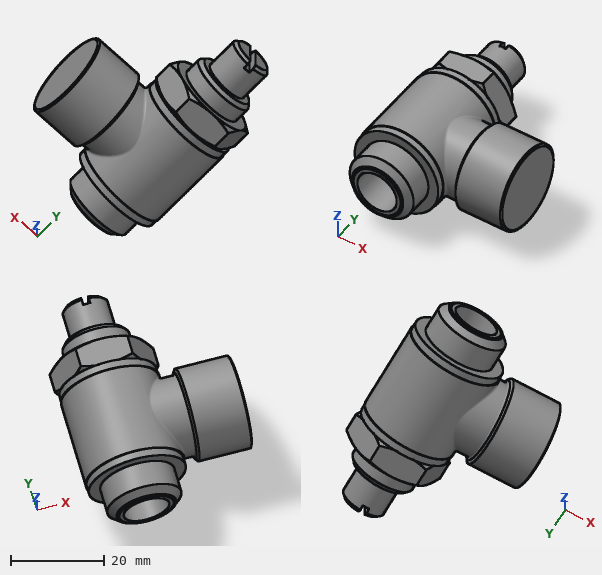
import cadquery as cq
import math

total_length = 49.9

stub_radius = 8.3
stub_length = 7.4
stub_chamfer_end = 1.75
stub_rim_radius = 6.65
lip_base_radius = 6.25
lip_end_radius = 6.1
lip_height = 0.2
bore_radius = 5.1
bore_depth = 14.95
inner_bore_radius = 3.25
inner_bore_depth = 1.0

body_diameter = 22.0
body_radius = body_diameter / 2
collar_radius = 10.85
body_start = 9.2
body_end = 29.2

hex_start = 31.05
hex_end = 37.0
hex_across_flats = 20.0
hex_bevel_angle = 30.0

shoulder_radius = 7.5
shoulder_end = 41.7
shoulder_chamfer_length = 1.05
shoulder_chamfer_width = 0.85
screw_radius = 5.05
screw_chamfer = 0.8
slot_width = 1.55
slot_depth = 1.95

branch_y = 19.15
neck_radius = 9.0
neck_end = 13.75
neck_fillet = 0.35
junction_fillet = 0.55
socket_radius = 10.3
socket_end = 26.05
socket_chamfer_length = 0.25
socket_chamfer_width = 0.5
socket_cone_start_radius = 9.6
socket_cone_end = 14.25


def revolve_about_y(profile):
    """Revolve (radius, Y) points around the main axis."""
    return cq.Workplane("XY").polyline(profile).close().revolve(360, (0, 0, 0), (0, 1, 0))


def cylinder_y(radius, start, end):
    return revolve_about_y([(0, start), (radius, start), (radius, end), (0, end)])


def make_body():
    """Body and branch neck, blended where they meet."""
    body = cylinder_y(body_radius, body_start, body_end)
    neck = cq.Workplane("YZ").center(branch_y, 0).circle(neck_radius).extrude(neck_end)
    inset = 0.1
    junction = cq.selectors.BoxSelector(
        (0, body_start + inset, -body_radius),
        (neck_end - inset, body_end - inset, body_radius),
        boundingbox=True,
    )
    return body.union(neck).edges(junction).fillet(junction_fillet)


def make_socket():
    """Socket with a conical back and a small concave blend onto the neck."""
    blend_start = neck_end - neck_fillet
    blend_mid = (
        neck_end - neck_fillet * (1 - math.sin(math.pi / 4)),
        branch_y + neck_radius + neck_fillet * (1 - math.cos(math.pi / 4)),
    )
    profile = (
        cq.Workplane("XY")
        .moveTo(blend_start, branch_y)
        .lineTo(blend_start, branch_y + neck_radius)
        .threePointArc(blend_mid, (neck_end, branch_y + neck_radius + neck_fillet))
        .lineTo(neck_end, branch_y + socket_cone_start_radius)
        .lineTo(socket_cone_end, branch_y + socket_radius)
        .lineTo(socket_end - socket_chamfer_length, branch_y + socket_radius)
        .lineTo(socket_end, branch_y + socket_radius - socket_chamfer_width)
        .lineTo(socket_end, branch_y)
        .close()
    )
    return profile.revolve(360, (0, branch_y, 0), (1, branch_y, 0))


def make_hex():
    """Hexagon whose corners are bevelled at both ends by a cone."""
    corner_radius = hex_across_flats / math.sqrt(3)
    flat_radius = hex_across_flats / 2
    bevel = (corner_radius - flat_radius) * math.tan(math.radians(hex_bevel_angle))
    prism = (
        cq.Workplane("XZ", origin=(0, hex_start, 0))
        .polygon(6, 2 * corner_radius)
        .extrude(hex_start - hex_end)
    )
    envelope = revolve_about_y([
        (0, hex_start),
        (flat_radius, hex_start),
        (corner_radius, hex_start + bevel),
        (corner_radius, hex_end - bevel),
        (flat_radius, hex_end),
        (0, hex_end),
    ])
    return prism.intersect(envelope)


def make_stub():
    """Chamfered stub with a low tapered lip standing out of its rim."""
    return revolve_about_y([
        (0, 0),
        (lip_end_radius, 0),
        (lip_base_radius, lip_height),
        (stub_rim_radius, lip_height),
        (stub_radius, stub_chamfer_end),
        (stub_radius, stub_length),
        (0, stub_length),
    ])


def make_bore():
    """Stepped hole in the stub: bore and smaller end hole."""
    bore_end = bore_depth + inner_bore_depth
    return revolve_about_y([
        (0, 0),
        (bore_radius, 0),
        (bore_radius, bore_depth),
        (inner_bore_radius, bore_depth),
        (inner_bore_radius, bore_end),
        (0, bore_end),
    ])


def make_screw():
    """Shoulder above the hexagon and the adjusting screw."""
    return revolve_about_y([
        (0, hex_end),
        (shoulder_radius, hex_end),
        (shoulder_radius, shoulder_end - shoulder_chamfer_length),
        (shoulder_radius - shoulder_chamfer_width, shoulder_end),
        (screw_radius, shoulder_end),
        (screw_radius, total_length - screw_chamfer),
        (screw_radius - screw_chamfer, total_length),
        (0, total_length),
    ])


def make_slot():
    """Screwdriver slot running along Z."""
    return cq.Workplane("XY").box(slot_width, slot_depth, 2 * screw_radius).translate(
        (0, total_length - slot_depth / 2, 0)
    )


collars = cylinder_y(collar_radius, stub_length, hex_start)
result = make_body().union(make_socket()).union(collars).union(make_stub())
result = result.union(make_hex()).union(make_screw())
result = result.cut(make_bore()).cut(make_slot())